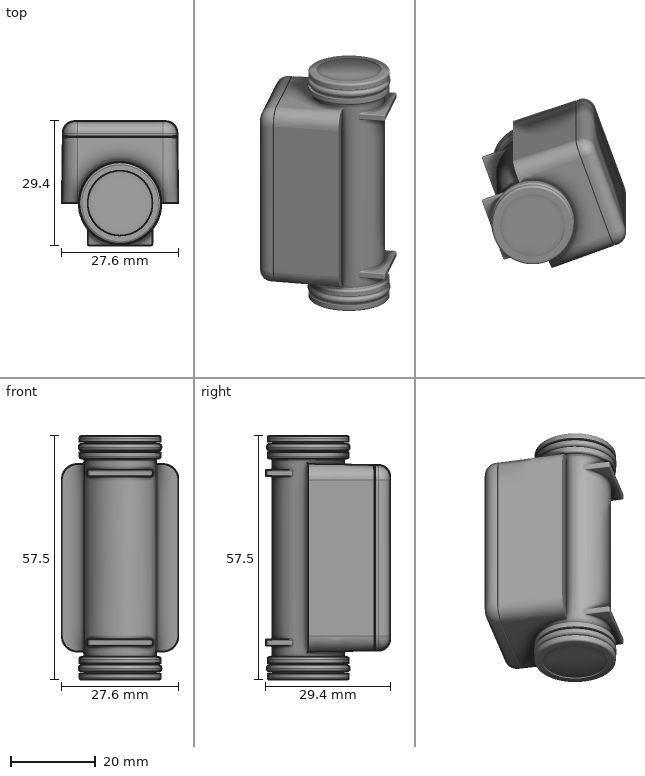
import cadquery as cq
import math

length = 57.5
barrel_radius = 8.5

flange_radius = 9.6
end_flange_thickness = 1.45
collar_thickness = 1.45
flange_edge_fillet = 0.5
collar_root_fillet = 0.3
recess_radius = 7.65
recess_depth = 0.3

groove_width = 2.5
groove_floor_radius = 8.2
groove_corner_fillet = 0.3
ring_outer_radius = 9.8
ring_section_radius = 0.85

box_front_width = 27.55
box_front_height = 44.3
box_depth = 19.4
box_draft_angle = 0.8
box_corner_radius = 3.5
box_back_fillet = 2.9
box_root_fillet = 0.3

seam_start = 15.5
seam_width = 0.3
seam_depth = 1.05

lug_width = 15.3
lug_thickness = 1.5
lug_reach = 10.0
lug_height = 20.0
lug_corner_fillet = 0.4
lug_edge_fillet = 0.25
lug_root_fillet = 0.3

half_length = length / 2
groove_top = half_length - end_flange_thickness
groove_bottom = groove_top - groove_width
collar_bottom = groove_bottom - collar_thickness
end_bottom = collar_bottom - collar_root_fillet
ring_height = (groove_top + groove_bottom) / 2

draft_loss = 2 * seam_start * math.tan(math.radians(box_draft_angle))
cover_width = box_front_width - draft_loss
cover_height = box_front_height - draft_loss

AXIS_START = (0, 0, 0)
AXIS_END = (0, 1, 0)
ON_SURFACE = 0.005


def make_tube():
    """Plain middle of the barrel; its seam is turned to +Y, inside the box."""
    tube = cq.Workplane("XY").circle(barrel_radius).extrude(2 * end_bottom)
    return tube.translate((0, 0, -end_bottom)).rotate((0, 0, 0), (0, 0, 1), 90)


def make_end():
    """Upper barrel end, revolved from its half section (radius, height)."""
    edge = flange_edge_fillet
    root = collar_root_fillet
    corner = groove_corner_fillet
    section = (
        cq.Workplane("XZ")
        .moveTo(0, end_bottom)
        .lineTo(barrel_radius, end_bottom)
        .radiusArc((barrel_radius + root, collar_bottom), root)
        .lineTo(flange_radius - edge, collar_bottom)
        .radiusArc((flange_radius, collar_bottom + edge), -edge)
        .lineTo(flange_radius, groove_bottom)
        .lineTo(groove_floor_radius + corner, groove_bottom)
        .radiusArc((groove_floor_radius, groove_bottom + corner), corner)
        .lineTo(groove_floor_radius, groove_top - corner)
        .radiusArc((groove_floor_radius + corner, groove_top), corner)
        .lineTo(flange_radius, groove_top)
        .lineTo(flange_radius, half_length - edge)
        .radiusArc((flange_radius - edge, half_length), -edge)
        .lineTo(recess_radius, half_length)
        .lineTo(recess_radius, half_length - recess_depth)
        .lineTo(0, half_length - recess_depth)
        .close()
    )
    return section.revolve(360, AXIS_START, AXIS_END)


def box_slab(y_start, y_end, inset=0.0, draft_angle=0.0):
    """Rounded slab between two Y planes; at y_end it is the cover outline less the inset."""
    outline = (
        cq.Sketch()
        .rect(cover_width - 2 * inset, cover_height - 2 * inset)
        .vertices()
        .fillet(box_corner_radius - inset)
    )
    plane = cq.Workplane("XZ", origin=(0, y_end, 0))
    return plane.placeSketch(outline).extrude(y_end - y_start, taper=-draft_angle)


def make_box():
    """Drafted tray, recessed seam neck and cover with a rounded back."""
    seam_end = seam_start + seam_width
    tray = box_slab(0, seam_start, draft_angle=box_draft_angle)
    neck = box_slab(seam_start, seam_end, inset=seam_depth)
    cover = box_slab(seam_end, box_depth).faces(">Y").edges().fillet(box_back_fillet)
    return tray.union(neck).union(cover)


def make_lug():
    """Upper lug, running from the barrel axis out to its rounded -Y edge."""
    return (
        cq.Workplane("XY")
        .box(lug_width, lug_reach, lug_thickness)
        .translate((0, -lug_reach / 2, lug_height))
        .edges("|Z and <Y")
        .fillet(lug_corner_fillet)
        .faces("<Y")
        .edges("|X")
        .fillet(lug_edge_fillet)
    )


def fillet_on_barrel(body, y_min, y_max, z_limit, radius):
    """Round the edges on the barrel surface whose midpoint has Y in range and |Z| below the limit."""
    chosen = []
    for edge in body.edges().vals():
        middle = edge.positionAt(0.5)
        off_surface = abs(math.hypot(middle.x, middle.y) - barrel_radius)
        in_range = y_min < middle.y < y_max and abs(middle.z) < z_limit
        if off_surface < ON_SURFACE and in_range:
            chosen.append(edge)
    return body.newObject(chosen).fillet(radius)


def make_housing():
    box_top = box_front_height / 2 + ON_SURFACE
    body = make_tube().union(make_box())
    body = fillet_on_barrel(body, -ON_SURFACE, box_depth, box_top, box_root_fillet)

    lug = make_lug()
    lug_top = lug_height + lug_thickness / 2
    lug_y_limit = -barrel_radius / 4
    body = body.union(lug).union(lug.mirror("XY"))
    body = fillet_on_barrel(body, -lug_reach, lug_y_limit, lug_top, lug_root_fillet)

    end = make_end()
    return body.union(end).union(end.mirror("XY"))


def make_seal_ring(height):
    """Round-section ring, flattened where it sits on the groove floor."""
    section_center = ring_outer_radius - ring_section_radius
    ring = (
        cq.Workplane("XZ")
        .center(section_center, height)
        .circle(ring_section_radius)
        .revolve(360, (-section_center, 0, 0), (-section_center, 1, 0))
    )
    floor = (
        cq.Workplane("XY", origin=(0, 0, height))
        .circle(groove_floor_radius)
        .extrude(groove_width / 2, both=True)
    )
    return ring.cut(floor)


housing = make_housing()
seal_rings = [make_seal_ring(height) for height in (ring_height, -ring_height)]

result = cq.Compound.makeCompound([housing.val(), *[ring.val() for ring in seal_rings]])